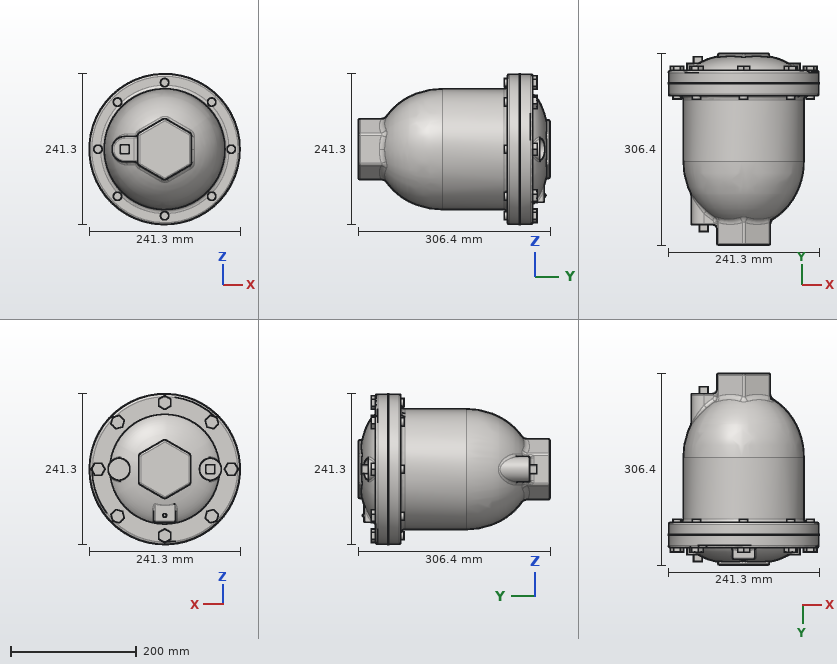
import cadquery as cq
import math


gasket_radius = 241.3 / 2
gasket_thickness = 1.6
flange_radius = 120.1
cover_flange_thickness = 20.8
cover_edge_fillet = 4.0
body_flange_thickness = 20.0
body_edge_fillet = 3.2

barrel_radius = 96.6
barrel_end_y = -124.3
neck_fillet = 6.0
dome_depth = 106.0

outlet_hex_flats = 85.7
outlet_face_y = -258.3
hex_corner_fillet = 4.8
outlet_root_fillet = 10.0
inlet_hex_flats = 82.5
inlet_face_y = 48.1
hex_edge_fillet = 3.2

cover_dome_radius = 91.4
cover_dome_height = 36.6
cover_dome_center_y = 10.5

bolt_count = 8
bolt_circle_radius = 106.4
bolt_diameter = 13.2
bolt_tip_y = -25.1
bolt_head_flats = 19.05
bolt_head_top_y = 27.6

drain_radius = 20.3
drain_center_x = -63.7
drain_face_y = -226.0
drain_edge_fillet = 2.4
drain_root_fillet = 6.4

plug_size = 14.3
plug_corner_fillet = 1.6
plug_height = 10.8

pad_radius = 17.5
pad_center_x = 73.0
pad_face_y = 32.0
pad_root_fillet = 3.0

lug_width = 35.0
lug_end_z = -85.0
lug_face_y = 39.0
lug_edge_fillet = 2.2
lug_root_fillet = 3.0
lug_cone_z = -74.0
lug_cone_radius = 3.0
lug_cone_height = 2.8

joint_tolerance = 0.01


def prism_plane(y, x=0.0, z=0.0):
    """Plane whose normal is +Y and whose local axes are X and -Z."""
    return cq.Plane(origin=(x, y, z), xDir=(1, 0, 0), normal=(0, 1, 0))


def disc(radius, y_low, y_high, x=0.0, z=0.0):
    return cq.Workplane(prism_plane(y_low, x, z)).circle(radius).extrude(y_high - y_low)


def hexagon(flats, y_low, y_high, corner_angle):
    """Hexagonal prism along Y with one corner at the given angle from +X."""
    corner_diameter = flats / math.cos(math.radians(30))
    return (
        cq.Workplane(prism_plane(y_low).rotated((0, 0, corner_angle)))
        .polygon(6, corner_diameter)
        .extrude(y_high - y_low)
    )


def square_plug(x, y_low, y_high):
    plug = cq.Workplane(prism_plane(y_low, x)).rect(plug_size, plug_size).extrude(y_high - y_low)
    return plug.edges("|Y").fillet(plug_corner_fillet)


def half_ellipsoid(radius, height, center_y, direction):
    """Solid half-ellipsoid about the Y axis, bulging along +Y (direction 1) or -Y (direction -1)."""
    if direction > 0:
        arc = (
            cq.Workplane("XY")
            .moveTo(radius, center_y)
            .ellipseArc(radius, height, 0, 90, startAtCurrent=True)
        )
    else:
        arc = (
            cq.Workplane("XY")
            .moveTo(0, center_y - height)
            .ellipseArc(radius, height, -90, 0, startAtCurrent=True)
        )
    return arc.lineTo(0, center_y).close().revolve(360, (0, 0, 0), (0, 1, 0))


def fillet_joint(joined, first, second, radius):
    """Fillet the edges of a union that lie on the surfaces of both parts it was made from."""
    surfaces = [cq.Compound.makeCompound(part.faces().vals()) for part in (first, second)]
    joint_edges = []
    for edge in joined.edges().vals():
        middle = cq.Vertex.makeVertex(*edge.positionAt(0.5).toTuple())
        if all(surface.distance(middle) < joint_tolerance for surface in surfaces):
            joint_edges.append(edge)
    return joined.newObject(joint_edges).fillet(radius)


def blend(first, second, radius):
    return fillet_joint(first.union(second), first, second, radius)


def make_outlet():
    """Hexagonal outlet boss with rounded corners and a rounded end face."""
    boss = hexagon(outlet_hex_flats, outlet_face_y, barrel_end_y, corner_angle=90)
    boss = boss.edges("|Y").fillet(hex_corner_fillet)
    return boss.faces("<Y").edges().fillet(hex_edge_fillet)


def make_drain():
    """Boss with a round outer end, running inwards to the vessel axis."""
    inner = cq.Workplane(prism_plane(drain_face_y, drain_center_x / 2)).rect(
        -drain_center_x, 2 * drain_radius
    )
    boss = inner.extrude(barrel_end_y - drain_face_y)
    boss = boss.union(disc(drain_radius, drain_face_y, barrel_end_y, drain_center_x))
    boss = boss.faces("<Y").edges().fillet(drain_edge_fillet)
    return boss


def make_barrel():
    """Flange and straight barrel with a filleted neck between them."""
    profile = (
        cq.Workplane("XY")
        .moveTo(0, barrel_end_y)
        .lineTo(barrel_radius, barrel_end_y)
        .lineTo(barrel_radius, -body_flange_thickness - neck_fillet)
        .radiusArc((barrel_radius + neck_fillet, -body_flange_thickness), neck_fillet)
        .lineTo(flange_radius, -body_flange_thickness)
        .lineTo(flange_radius, 0)
        .lineTo(0, 0)
        .close()
    )
    barrel = profile.revolve(360, (0, 0, 0), (0, 1, 0))
    outer_rim = cq.selectors.RadiusNthSelector(-1)
    return barrel.edges("%CIRCLE").edges("not >Y").edges(outer_rim).fillet(body_edge_fillet)


def make_closed_end():
    """Body dome with the outlet and drain bosses blended into it."""
    dome = half_ellipsoid(barrel_radius, dome_depth, barrel_end_y, -1)
    end = blend(dome, make_outlet(), outlet_root_fillet)
    end = blend(end, make_drain(), drain_root_fillet)
    return end.union(square_plug(drain_center_x, drain_face_y - plug_height, drain_face_y))


def make_inlet():
    boss = hexagon(inlet_hex_flats, cover_dome_center_y, inlet_face_y, corner_angle=90)
    boss = boss.edges("|Y").fillet(hex_corner_fillet)
    return boss.faces(">Y").edges().fillet(hex_edge_fillet)


def make_lug():
    lug = cq.Workplane("XY").box(lug_width, lug_face_y, -lug_end_z, centered=(True, False, False))
    lug = lug.translate((0, 0, lug_end_z))
    lug = lug.faces(">Y").edges("not >Z").fillet(lug_edge_fillet)
    cone = cq.Solid.makeCone(
        lug_cone_radius, 0, lug_cone_height, cq.Vector(0, lug_face_y, lug_cone_z), cq.Vector(0, 1, 0)
    )
    return lug.union(cq.Workplane(cone))


def make_cover_dome():
    """Cover dome with two round pads, each spot-faced into it, and the rectangular lug."""
    dome = half_ellipsoid(cover_dome_radius, cover_dome_height, cover_dome_center_y, 1)
    for x in (-pad_center_x, pad_center_x):
        pad = disc(pad_radius, cover_dome_center_y, pad_face_y, x)
        spot_face = disc(pad_radius, pad_face_y, inlet_face_y, x)
        dome = blend(dome, pad, pad_root_fillet).cut(spot_face)
    return blend(dome, make_lug(), lug_root_fillet)


def make_cover():
    flange = disc(flange_radius, 0, cover_flange_thickness)
    flange = flange.faces(">Y").edges().fillet(cover_edge_fillet)
    cover = flange.union(make_cover_dome()).union(make_inlet())
    return cover.union(square_plug(-pad_center_x, pad_face_y, pad_face_y + plug_height))


def make_bolt():
    shank = disc(bolt_diameter / 2, bolt_tip_y, cover_flange_thickness, bolt_circle_radius)
    head = hexagon(bolt_head_flats, cover_flange_thickness, bolt_head_top_y, corner_angle=0)
    return shank.union(head.translate((bolt_circle_radius, 0, 0)))


vessel = make_barrel().union(make_closed_end()).union(make_cover())
vessel = vessel.union(disc(gasket_radius, -gasket_thickness / 2, gasket_thickness / 2))
bolt = make_bolt()
for index in range(bolt_count):
    vessel = vessel.union(bolt.rotate((0, 0, 0), (0, 1, 0), index * 360 / bolt_count))

result = vessel